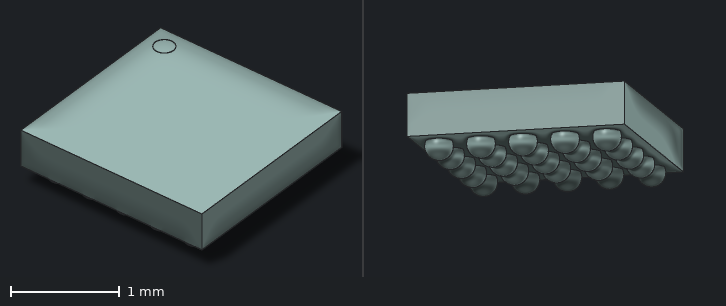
import cadquery as cq

body_length = 2.13
body_width = 2.07
overall_height = 0.592

marker_diameter = 0.213
marker_thickness = 0.002
marker_inset = marker_diameter

ball_diameter = 0.265
ball_pitch = 0.4
balls_per_side = 5
standoff = 0.182

body_height = overall_height - standoff - marker_thickness
body_top = standoff + body_height
ball_radius = ball_diameter / 2


def make_body():
    """Plain rectangular block resting on the balls."""
    return (
        cq.Workplane("XY")
        .workplane(offset=standoff)
        .rect(body_length, body_width)
        .extrude(body_height)
    )


def make_balls():
    """Square grid of balls touching Z = 0, trimmed flush with the underside."""
    grid_span = ball_pitch * balls_per_side
    trim_block = cq.Workplane("XY").box(grid_span, grid_span, standoff, centered=(True, True, False))
    spheres = (
        cq.Workplane("XY")
        .workplane(offset=ball_radius)
        .rarray(ball_pitch, ball_pitch, balls_per_side, balls_per_side)
        .sphere(ball_radius)
    )
    return spheres.intersect(trim_block)


def make_marker():
    """Pin 1 disc in the -X, +Y corner of the top face."""
    return (
        cq.Workplane("XY")
        .workplane(offset=body_top)
        .center(marker_inset - body_length / 2, body_width / 2 - marker_inset)
        .circle(marker_diameter / 2)
        .extrude(marker_thickness)
    )


result = make_body().union(make_balls()).union(make_marker())